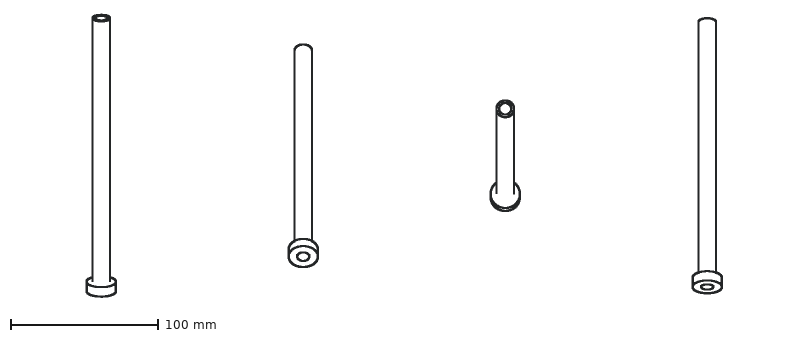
import cadquery as cq

total_length = 200.0
head_diameter = 20.0
head_height = 7.0
shank_diameter = 12.0
bore_diameter = 8.2
neck_fillet_radius = 0.7

head_radius = head_diameter / 2
shank_radius = shank_diameter / 2
bore_radius = bore_diameter / 2


def make_sleeve():
    """Revolve the half section of the headed sleeve, drawn on the -X side of the Z axis."""
    fillet_start = (-(shank_radius + neck_fillet_radius), head_height)
    fillet_end = (-shank_radius, head_height + neck_fillet_radius)
    section = (
        cq.Workplane("XZ")
        .moveTo(-bore_radius, 0)
        .lineTo(-head_radius, 0)
        .lineTo(-head_radius, head_height)
        .lineTo(*fillet_start)
        .radiusArc(fillet_end, -neck_fillet_radius)
        .lineTo(-shank_radius, total_length)
        .lineTo(-bore_radius, total_length)
        .close()
    )
    return section.revolve(360, (0, 0, 0), (0, 1, 0))


result = make_sleeve()